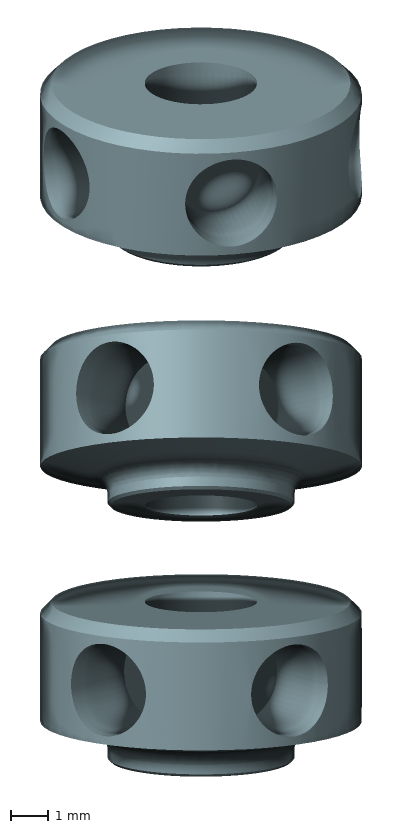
import cadquery as cq

outer_diameter = 8.6
height = 4.3
top_chamfer = 0.3
rim_bottom_z = 1.07
bore_diameter = 3.0

neck_diameter = 5.0
neck_chamfer = 0.08
neck_fillet = 0.4
cone_root_z = 0.65

hole_count = 5
hole_diameter = 2.5
hole_z = 2.545
hole_floor_radius = 1.755
first_hole_angle = 180.0

outer_radius = outer_diameter / 2
neck_radius = neck_diameter / 2


def make_body():
    """Revolve the collar with its conical underside, then round the neck root."""
    profile = (
        cq.Workplane("XZ")
        .moveTo(0, 0)
        .lineTo(neck_radius - neck_chamfer, 0)
        .lineTo(neck_radius, neck_chamfer)
        .lineTo(neck_radius, cone_root_z)
        .lineTo(outer_radius, rim_bottom_z)
        .lineTo(outer_radius, height - top_chamfer)
        .lineTo(outer_radius - top_chamfer, height)
        .lineTo(0, height)
        .close()
    )
    body = profile.revolve(360, (0, 0, 0), (0, 1, 0))
    neck_circles = body.edges(cq.selectors.RadiusNthSelector(1))
    return neck_circles.edges(">Z").fillet(neck_fillet)


def make_radial_hole(angle):
    """Cutter running outward from the flat hole floor through the rim."""
    return (
        cq.Workplane("YZ", origin=(hole_floor_radius, 0, 0))
        .center(0, hole_z)
        .circle(hole_diameter / 2)
        .extrude(outer_radius)
        .rotate((0, 0, 0), (0, 0, 1), angle)
    )


def make_bore():
    """Cutter for the plain bore through the full height."""
    return cq.Workplane("XY").circle(bore_diameter / 2).extrude(height)


result = make_body().cut(make_bore())
for index in range(hole_count):
    hole_angle = first_hole_angle + index * 360 / hole_count
    result = result.cut(make_radial_hole(hole_angle))